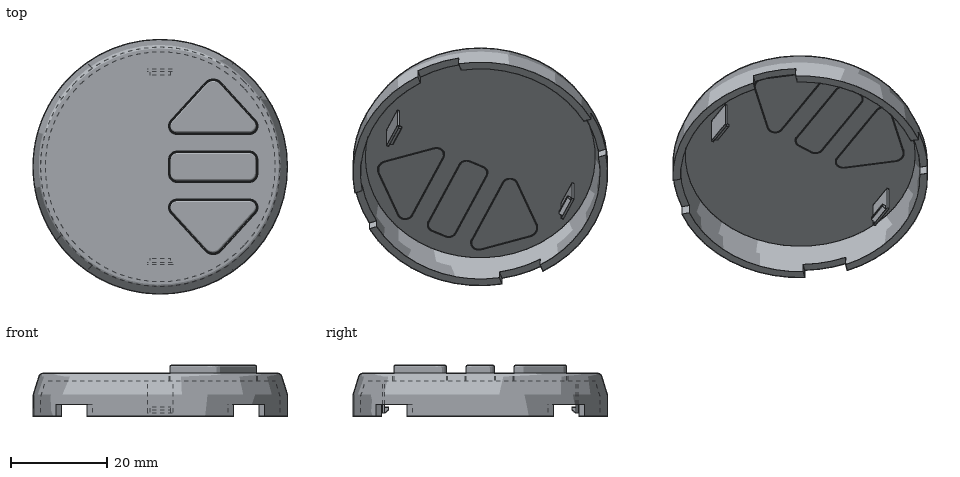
import cadquery as cq

outer_radius = 26.5
plate_top = 9.0
total_height = 10.7
taper_start = 4.5
taper_slope = 0.31
top_edge_radius = 1.0
wall = 1.6
plate_thickness = 1.6
inner_taper_start = 4.25

notch_width = 9.0
notch_height = 2.5
notch_depth = 4 * wall
notch_angles = (45, 135, 225, 315)

clip_width = 5.3
clip_inner_face = 19.9
arm_thickness = 0.5
clip_bottom = 0.7
hook_width = 4.25
hook_reach = 0.8
hook_top = 1.95
hook_nose_bottom = 1.4

button_center_x = 11.0
button_gap = 0.2
button_corner_radius = 1.5
button_edge_radius = 0.5
bar_length = 18.0
bar_width = 6.0
arrow_base_y = 7.0
arrow_base_length = 21.85
arrow_height = 12.0
arrow_apex_radius = 2.0

ceiling = plate_top - plate_thickness
inner_radius = outer_radius - wall
button_height = total_height - ceiling


def round_solid(radius, straight_height, top):
    """Solid of revolution: straight wall up to straight_height, then leaning inward to top."""
    top_radius = radius - (top - straight_height) * taper_slope
    return (
        cq.Workplane("XZ")
        .polyline([(0, 0), (radius, 0), (radius, straight_height), (top_radius, top), (0, top)])
        .close()
        .revolve(360, (0, 0, 0), (0, 1, 0))
    )


def bar_prism():
    """Plain bar button without its top rounding, standing on the ceiling height."""
    return (
        cq.Workplane("XY", origin=(button_center_x, 0, ceiling))
        .rect(bar_length, bar_width)
        .extrude(button_height)
        .edges("|Z")
        .fillet(button_corner_radius)
    )


def arrow_prism(direction):
    """Plain triangular button pointing to +Y (direction 1) or -Y (direction -1)."""
    half_base = arrow_base_length / 2
    base_y = direction * arrow_base_y
    apex_y = direction * (arrow_base_y + arrow_height)
    prism = (
        cq.Workplane("XY", origin=(button_center_x, 0, ceiling))
        .polyline([(-half_base, base_y), (half_base, base_y), (0, apex_y)])
        .close()
        .extrude(button_height)
    )
    apex_side = ">Y" if direction > 0 else "<Y"
    base_side = "<Y" if direction > 0 else ">Y"
    prism = prism.edges("|Z").edges(apex_side).fillet(arrow_apex_radius)
    return prism.faces(base_side).edges("|Z").fillet(button_corner_radius)


def make_button(prism):
    """Finished button: the prism with its top edge rounded."""
    return prism.faces(">Z").edges().fillet(button_edge_radius)


def button_opening(prism):
    """Opening through the plate, larger than the button by the gap all round."""
    return prism.faces("<Z").wires().toPending().offset2D(button_gap).extrude(button_height)


def snap_clip(side):
    """Arm and inward hook at the +Y (side 1) or -Y (side -1) rim."""
    arm_height = ceiling + plate_thickness / 2 - clip_bottom
    arm = cq.Workplane("XY").box(clip_width, arm_thickness, arm_height, centered=(True, False, False))
    arm = arm.translate((0, clip_inner_face, clip_bottom))
    nose = clip_inner_face - hook_reach
    root = clip_inner_face + arm_thickness / 2
    hook = (
        cq.Workplane("YZ")
        .polyline([
            (root, hook_top),
            (nose, hook_top),
            (nose, hook_nose_bottom),
            (clip_inner_face, clip_bottom),
            (root, clip_bottom),
        ])
        .close()
        .extrude(hook_width / 2, both=True)
    )
    clip = arm.union(hook)
    return clip if side > 0 else clip.mirror("XZ")


def make_cover(button_prisms):
    cover = round_solid(outer_radius, taper_start, plate_top)
    cover = cover.faces(">Z").edges().fillet(top_edge_radius)
    cover = cover.cut(round_solid(inner_radius, inner_taper_start, ceiling))

    for angle in notch_angles:
        notch = (
            cq.Workplane("XY")
            .center(inner_radius, 0)
            .rect(notch_depth, notch_width)
            .extrude(notch_height)
            .rotate((0, 0, 0), (0, 0, 1), angle)
        )
        cover = cover.cut(notch)

    for prism in button_prisms:
        cover = cover.cut(button_opening(prism))

    for side in (1, -1):
        cover = cover.union(snap_clip(side))
    return cover


bar = bar_prism()
arrows = [arrow_prism(direction) for direction in (1, -1)]

cover = make_cover([bar, *arrows])
bar_button = make_button(bar)
arrow_buttons = [make_button(arrow) for arrow in arrows]

result = cq.Compound.makeCompound(
    [cover.val(), bar_button.val(), *[button.val() for button in arrow_buttons]]
)